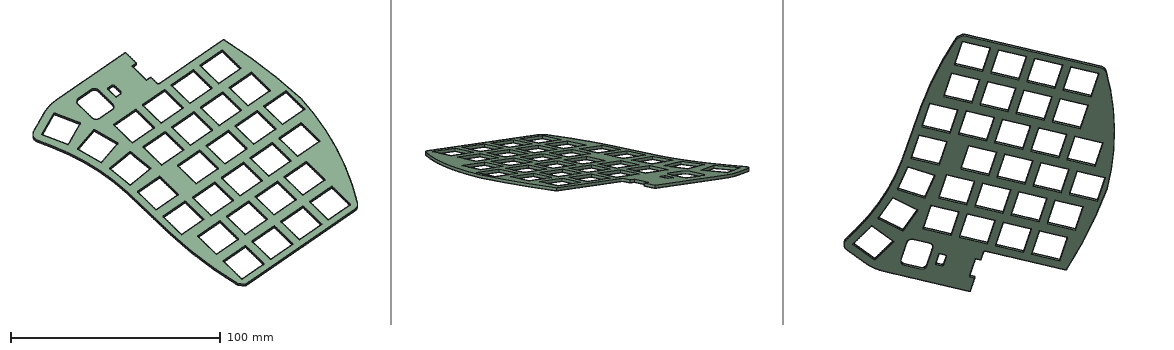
import cadquery as cq
import math

LENGTH = 140.8
WIDTH = 112.6
THICKNESS = 1.5
RIGHT = LENGTH / 2
LEFT = -RIGHT
REAR = WIDTH / 2
FRONT = -REAR

WINDOW = 14.0
ROWS = 4
ROW_SPAN = 53.9
ROW_PITCH = ROW_SPAN / (ROWS - 1)
COLUMN_TOP_Y = [38.7, 41.1, 46.7, 40.3, 27.6, 27.6]
FIRST_COLUMN_X = -34.8
LAST_COLUMN_X = 60.0
COLUMN_PITCH = (LAST_COLUMN_X - FIRST_COLUMN_X) / (len(COLUMN_TOP_Y) - 1)

FRONT_ROW_Y = -31.7
FRONT_ROW_X = 2.5
FRONT_ROW_COUNT = 2
THUMB_WINDOWS = [
    (-17.0, -32.5, 5),
    (-37.0, -36.0, 15),
    (-56.0, -43.0, 25),
]

TAB_REAR_Y = 9.3
TAB_RIGHT_X = -46.0
TAB_INNER_RADIUS = 0.7
NOTCH_LEFT_X = -62.2
NOTCH_WIDTH = 10.7
NOTCH_DEPTH = 2.7

CONTROLLER_X = -56.6
POCKET_Y = -21.1
POCKET_LENGTH = 15.5
POCKET_WIDTH = 12.8
POCKET_RADIUS = 2.5
SLOT_Y = -9.0
SLOT_LENGTH = 6.5
SLOT_WIDTH = 3.8
SLOT_RADIUS = 1.0

REAR_LEFT_Y = 50.1
REAR_LEFT_ARC_MID = (-21.1, 54.3)
REAR_PEAK_X = 4.2
REAR_RIGHT_ARC_MID = (38.0, 50.4)
REAR_RIGHT_Y = 36.6

CORNER_RADIUS = 4.0
CHAMFER_LENGTH = 2.7
CHAMFER_REAR_Y = -34.0
CHAMFER_FRONT_Y = -36.5
FRONT_RIGHT_ARC_MID = (46.5, -40.4)
FLAT_RIGHT = (24.8, -42.1)
FLAT_LEFT = (-7.3, -42.5)
FRONT_LEFT_ARC_MID = (-28.2, -45.0)
THUMB_EDGE_RIGHT_X = -51.5

THUMB_TILT = math.radians(THUMB_WINDOWS[-1][2])
BEND_RADIUS = 24.0
BEND_START_Y = -33.5


def on_circle(center, radius, angle):
    """Point on a circle at an angle in radians."""
    return (center[0] + radius * math.cos(angle), center[1] + radius * math.sin(angle))


def make_outline():
    bend_center = (LEFT + BEND_RADIUS, BEND_START_Y)
    bend_mid = on_circle(bend_center, BEND_RADIUS, math.pi + THUMB_TILT / 2)
    bend_end = on_circle(bend_center, BEND_RADIUS, math.pi + THUMB_TILT)

    corner_y = FRONT + CORNER_RADIUS
    drop = bend_end[1] - corner_y
    corner_x = bend_end[0] + (CORNER_RADIUS + drop * math.sin(THUMB_TILT)) / math.cos(THUMB_TILT)
    corner = (corner_x, corner_y)
    corner_left = on_circle(corner, CORNER_RADIUS, math.pi + THUMB_TILT)
    corner_mid = on_circle(corner, CORNER_RADIUS, 1.25 * math.pi + THUMB_TILT)
    corner_right = on_circle(corner, CORNER_RADIUS, 1.5 * math.pi + THUMB_TILT)
    thumb_edge_rise = (THUMB_EDGE_RIGHT_X - corner_right[0]) * math.tan(THUMB_TILT)
    thumb_edge_right = (THUMB_EDGE_RIGHT_X, corner_right[1] + thumb_edge_rise)

    return (
        cq.Workplane("XY")
        .workplane(offset=-THICKNESS / 2)
        .moveTo(LEFT, TAB_REAR_Y)
        .lineTo(NOTCH_LEFT_X, TAB_REAR_Y)
        .line(0, -NOTCH_DEPTH)
        .line(NOTCH_WIDTH, 0)
        .line(0, NOTCH_DEPTH)
        .lineTo(TAB_RIGHT_X, TAB_REAR_Y)
        .lineTo(TAB_RIGHT_X, REAR_LEFT_Y)
        .threePointArc(REAR_LEFT_ARC_MID, (REAR_PEAK_X, REAR))
        .threePointArc(REAR_RIGHT_ARC_MID, (RIGHT, REAR_RIGHT_Y))
        .lineTo(RIGHT, CHAMFER_REAR_Y)
        .lineTo(RIGHT - CHAMFER_LENGTH, CHAMFER_FRONT_Y)
        .threePointArc(FRONT_RIGHT_ARC_MID, FLAT_RIGHT)
        .lineTo(*FLAT_LEFT)
        .threePointArc(FRONT_LEFT_ARC_MID, thumb_edge_right)
        .lineTo(*corner_right)
        .threePointArc(corner_mid, corner_left)
        .lineTo(*bend_end)
        .threePointArc(bend_mid, (LEFT, BEND_START_Y))
        .close()
    )


def round_upright_edge(body, x, y, radius):
    """Fillet the upright edge that stands at (x, y)."""
    return body.edges(cq.selectors.NearestToPointSelector((x, y, 0))).fillet(radius)


def make_opening(x, y, length, width, tilt=0):
    """Through cutter for a rectangular opening."""
    block = cq.Workplane("XY").box(length, width, 2 * THICKNESS)
    return block.rotate((0, 0, 0), (0, 0, 1), tilt).translate((x, y, 0))


def switch_positions():
    """Centre and tilt of every switch window."""
    positions = list(THUMB_WINDOWS)
    for column, top_y in enumerate(COLUMN_TOP_Y):
        x = FIRST_COLUMN_X + column * COLUMN_PITCH
        positions += [(x, top_y - row * ROW_PITCH, 0) for row in range(ROWS)]
    for key in range(FRONT_ROW_COUNT):
        positions.append((FRONT_ROW_X + key * COLUMN_PITCH, FRONT_ROW_Y, 0))
    return positions


plate = make_outline().extrude(THICKNESS)
plate = round_upright_edge(plate, TAB_RIGHT_X, TAB_REAR_Y, TAB_INNER_RADIUS)
plate = round_upright_edge(plate, RIGHT, REAR_RIGHT_Y, CORNER_RADIUS)

for window_x, window_y, window_tilt in switch_positions():
    plate = plate.cut(make_opening(window_x, window_y, WINDOW, WINDOW, window_tilt))

pocket = make_opening(CONTROLLER_X, POCKET_Y, POCKET_LENGTH, POCKET_WIDTH)
plate = plate.cut(pocket.edges("|Z").fillet(POCKET_RADIUS))

slot = make_opening(CONTROLLER_X, SLOT_Y, SLOT_LENGTH, SLOT_WIDTH)
plate = plate.cut(slot.edges("|Z and >Y").fillet(SLOT_RADIUS))

result = plate